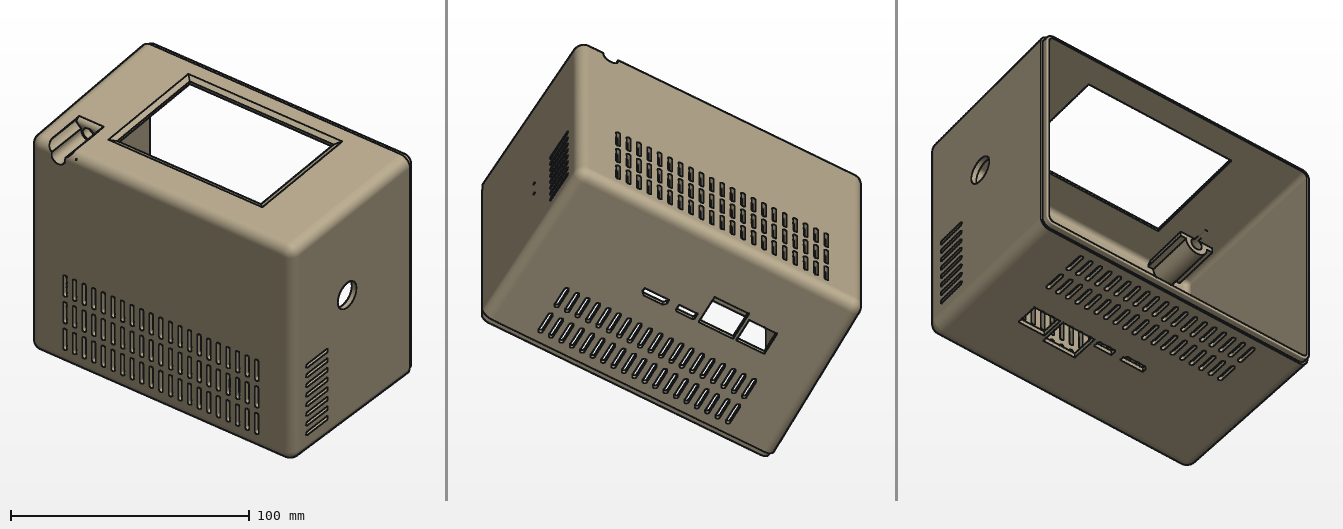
import cadquery as cq
import math

WIDTH = 140.0
DEPTH = 83.5
HEIGHT = 113.8
DRAFT = 1.0
WALL = 2.5
EDGE_RADIUS = 4.9
BACK_Y = DEPTH / 2
FRONT_Y = -DEPTH / 2
TOP_Z = HEIGHT / 2

LIP_LENGTH = 2.8
LIP_INSET = 1.1
LIP_ROUND = 0.4
SHOULDER_Y = BACK_Y - LIP_LENGTH

SLOT_WIDTH = 2.0
ROW_PITCH = 13.9
FRONT_SLOT_COUNT = 21
FRONT_VENT_SPAN = 100.0
SLOT_PITCH = FRONT_VENT_SPAN / (FRONT_SLOT_COUNT - 1)
FRONT_SLOT_LENGTH = 11.0
FRONT_ROW_COUNT = 3
FRONT_MIDDLE_ROW_Z = -28.3
BOTTOM_SLOT_COUNT = 19
BOTTOM_SLOT_LENGTH = 10.4
BOTTOM_ROW_COUNT = 2
BOTTOM_VENT_Y = 22.5
SIDE_SLOT_COUNT = 8
SIDE_SLOT_LENGTH = 15.0
SIDE_VENT_Y = -24.8
SIDE_VENT_Z = -27.5

PAD_THICKNESS = 2.0
PAD_TOP_Z = -7.7
PAD_BOTTOM_Z = -23.8
PAD_MARGIN = 1.4

PIN_HOLE_DIAMETER = 1.1
PIN_HOLE_Y = -4.0
PIN_HOLE_Z = -15.3
PIN_HOLE_SPACING = 8.4
JACK_HOLE_DIAMETER = 12.7
JACK_HOLE_Z = 10.8

FINE_HOLE_DIAMETER = 0.4
FINE_HOLE_X = -44.7
FINE_HOLE_Z = 53.2

PORT_REAR_Y = -2.0
PORTS = [
    (-16.8, 11.8, 3.2, 1.3),
    (-0.3, 9.0, 3.2, 0.5),
    (10.9, 16.5, 13.7, 0),
    (29.0, 13.5, 11.0, 0),
]

WINDOW_WIDTH = 74.9
WINDOW_LENGTH = 51.0
WINDOW_Y = 3.6
BEVEL_WIDTH = 2.7
BEVEL_DEPTH = 1.1

TROUGH_X = -53.5
TROUGH_Z = 51.0
TROUGH_RADIUS = 3.5
TROUGH_END_Y = -20.7
FLARE_HALF_WIDTH = 6.3
FLARE_BOTTOM_Z = TROUGH_Z + 1.1
FLARE_TOP_Z = 55.5
FLARE_BULGE = 0.3
END_FLARE_LENGTH = 2.4
END_FLARE_BOTTOM_Z = 54.0
END_FLARE_MIDDLE_Z = 55.3
END_FLARE_TOP_Z = 55.9
CABLE_HOLE_DIAMETER = 5.5
CABLE_HOLE_Z = 50.8
HOUSING_WALL = 2.0

CUT_REACH = 11.2
CLEARANCE = 1.4


def tapered_block(width, height, start_y, end_y, radius):
    """Block tapering from start_y toward -Y, rounded on all but its back face."""
    depth = start_y - end_y
    block = cq.Workplane("XZ", origin=(0, start_y, 0)).rect(width, height).extrude(depth, taper=DRAFT)
    return block.edges("not >Y").fillet(radius)


def make_outer():
    """Tapered body with an inset, straight lip at its back."""
    body = tapered_block(WIDTH, HEIGHT, SHOULDER_Y, FRONT_Y, EDGE_RADIUS)
    lip = (
        cq.Workplane("XZ", origin=(0, SHOULDER_Y, 0))
        .rect(WIDTH - 2 * LIP_INSET, HEIGHT - 2 * LIP_INSET)
        .extrude(-LIP_LENGTH)
        .edges("|Y")
        .fillet(EDGE_RADIUS - LIP_INSET)
    )
    lip = lip.faces(">Y").edges().fillet(LIP_ROUND)
    return body.union(lip)


def make_cavity():
    """Inner space, tapering without a step from the open back to the front wall."""
    return tapered_block(WIDTH - 2 * WALL, HEIGHT - 2 * WALL, BACK_Y, FRONT_Y + WALL, EDGE_RADIUS - WALL)


def front_vents():
    return (
        cq.Workplane("XZ", origin=(0, FRONT_Y + CUT_REACH / 2, FRONT_MIDDLE_ROW_Z))
        .rarray(SLOT_PITCH, ROW_PITCH, FRONT_SLOT_COUNT, FRONT_ROW_COUNT)
        .slot2D(FRONT_SLOT_LENGTH, SLOT_WIDTH, 90)
        .extrude(CUT_REACH)
    )


def bottom_vents():
    return (
        cq.Workplane("XY", origin=(0, BOTTOM_VENT_Y, -TOP_Z - CUT_REACH / 2))
        .rarray(SLOT_PITCH, ROW_PITCH, BOTTOM_SLOT_COUNT, BOTTOM_ROW_COUNT)
        .slot2D(BOTTOM_SLOT_LENGTH, SLOT_WIDTH, 90)
        .extrude(CUT_REACH)
    )


def side_vents():
    """Matching slots through both side walls."""
    return (
        cq.Workplane("YZ", origin=(-WIDTH / 2, SIDE_VENT_Y, SIDE_VENT_Z))
        .rarray(1.4, SLOT_PITCH, 1, SIDE_SLOT_COUNT)
        .slot2D(SIDE_SLOT_LENGTH, SLOT_WIDTH)
        .extrude(WIDTH)
    )


def vent_pad():
    """Pad against the inside of the +X wall."""
    length = SIDE_SLOT_LENGTH + 2 * PAD_MARGIN
    taper_inset = math.tan(math.radians(DRAFT)) * (SHOULDER_Y - SIDE_VENT_Y)
    inner_x = WIDTH / 2 - WALL - taper_inset
    return cq.Workplane("XY").box(2 * PAD_THICKNESS, length, PAD_TOP_Z - PAD_BOTTOM_Z).translate(
        (inner_x, SIDE_VENT_Y, (PAD_TOP_Z + PAD_BOTTOM_Z) / 2)
    )


def pin_holes():
    """Two small holes through the -X wall."""
    return (
        cq.Workplane("YZ", origin=(-WIDTH / 2, PIN_HOLE_Y, PIN_HOLE_Z))
        .rarray(1.4, PIN_HOLE_SPACING, 1, 2)
        .circle(PIN_HOLE_DIAMETER / 2)
        .extrude(CUT_REACH)
    )


def jack_hole():
    """Round hole through the +X wall."""
    return (
        cq.Workplane("YZ", origin=(WIDTH / 2, PIN_HOLE_Y, JACK_HOLE_Z))
        .circle(JACK_HOLE_DIAMETER / 2)
        .extrude(-CUT_REACH)
    )


def fine_hole():
    """Fine blind hole beside the trough."""
    return (
        cq.Workplane("XZ", origin=(FINE_HOLE_X, FRONT_Y + WALL, FINE_HOLE_Z))
        .circle(FINE_HOLE_DIAMETER / 2)
        .extrude(WALL)
    )


def port(left_x, width, length, chamfer):
    """Rectangular port through the bottom wall, its rear corners optionally cut off."""
    center = (left_x + width / 2, PORT_REAR_Y - length / 2, -TOP_Z)
    tool = cq.Workplane("XY").box(width, length, CUT_REACH).translate(center)
    if chamfer:
        tool = tool.faces(">Y").edges("|Z").chamfer(chamfer)
    return tool


def window():
    """Through window with a bevelled rim, square to the sloping top face."""
    top_z = TOP_Z - math.tan(math.radians(DRAFT)) * (SHOULDER_Y - WINDOW_Y)
    opening = cq.Workplane("XY").rect(WINDOW_WIDTH, WINDOW_LENGTH).extrude(CUT_REACH, both=True)
    bevel = (
        cq.Workplane("XY", origin=(0, 0, -BEVEL_DEPTH))
        .rect(WINDOW_WIDTH, WINDOW_LENGTH)
        .workplane(offset=BEVEL_DEPTH)
        .rect(WINDOW_WIDTH + 2 * BEVEL_WIDTH, WINDOW_LENGTH + 2 * BEVEL_WIDTH)
        .loft()
    )
    return opening.union(bevel).rotate((0, 0, 0), (1, 0, 0), DRAFT).translate((0, WINDOW_Y, top_z))


def trough_housing():
    """Floor and end wall that close the trough off from the cavity."""
    end_y = TROUGH_END_Y + END_FLARE_LENGTH + HOUSING_WALL
    radius = TROUGH_RADIUS + HOUSING_WALL
    half_width = FLARE_HALF_WIDTH + HOUSING_WALL
    return (
        cq.Workplane("XZ", origin=(TROUGH_X, end_y, 0))
        .moveTo(-radius, TROUGH_Z)
        .threePointArc((0, TROUGH_Z - radius), (radius, TROUGH_Z))
        .lineTo(half_width, TROUGH_Z)
        .lineTo(half_width, TOP_Z)
        .lineTo(-half_width, TOP_Z)
        .lineTo(-half_width, TROUGH_Z)
        .close()
        .extrude(end_y - FRONT_Y)
    )


def trough():
    """U-shaped channel with flared sides, a flared inner end and a cable hole."""
    flare_middle_x = (FLARE_HALF_WIDTH + TROUGH_RADIUS) / 2 + FLARE_BULGE
    flare_middle_z = (FLARE_TOP_Z + FLARE_BOTTOM_Z) / 2 - FLARE_BULGE
    end_flare_y = TROUGH_END_Y + END_FLARE_LENGTH
    end_flare_middle_y = TROUGH_END_Y + END_FLARE_LENGTH / 3
    clear_z = TOP_Z + CLEARANCE
    channel = (
        cq.Workplane("XZ", origin=(0, TROUGH_END_Y, 0))
        .moveTo(-TROUGH_RADIUS, TROUGH_Z)
        .threePointArc((0, TROUGH_Z - TROUGH_RADIUS), (TROUGH_RADIUS, TROUGH_Z))
        .lineTo(TROUGH_RADIUS, FLARE_BOTTOM_Z)
        .threePointArc((flare_middle_x, flare_middle_z), (FLARE_HALF_WIDTH, FLARE_TOP_Z))
        .lineTo(FLARE_HALF_WIDTH, clear_z)
        .lineTo(-FLARE_HALF_WIDTH, clear_z)
        .lineTo(-FLARE_HALF_WIDTH, FLARE_TOP_Z)
        .threePointArc((-flare_middle_x, flare_middle_z), (-TROUGH_RADIUS, FLARE_BOTTOM_Z))
        .close()
        .extrude(TROUGH_END_Y - FRONT_Y + CLEARANCE)
    )
    end_flare = (
        cq.Workplane("YZ", origin=(-FLARE_HALF_WIDTH, 0, 0))
        .moveTo(TROUGH_END_Y, END_FLARE_BOTTOM_Z)
        .threePointArc((end_flare_middle_y, END_FLARE_MIDDLE_Z), (end_flare_y, END_FLARE_TOP_Z))
        .lineTo(end_flare_y, clear_z)
        .lineTo(TROUGH_END_Y, clear_z)
        .close()
        .extrude(2 * FLARE_HALF_WIDTH)
    )
    cable_hole = (
        cq.Workplane("XZ", origin=(0, TROUGH_END_Y + CUT_REACH, CABLE_HOLE_Z))
        .circle(CABLE_HOLE_DIAMETER / 2)
        .extrude(CUT_REACH)
    )
    return channel.union(end_flare).union(cable_hole).translate((TROUGH_X, 0, 0))


outer = make_outer()
cavity = make_cavity()
result = outer.cut(cavity).cut(side_vents())
result = result.union(vent_pad().intersect(cavity)).union(trough_housing().intersect(outer))
result = result.cut(front_vents()).cut(bottom_vents())
result = result.cut(pin_holes()).cut(jack_hole()).cut(fine_hole())
result = result.cut(window()).cut(trough())
for port_size in PORTS:
    result = result.cut(port(*port_size))